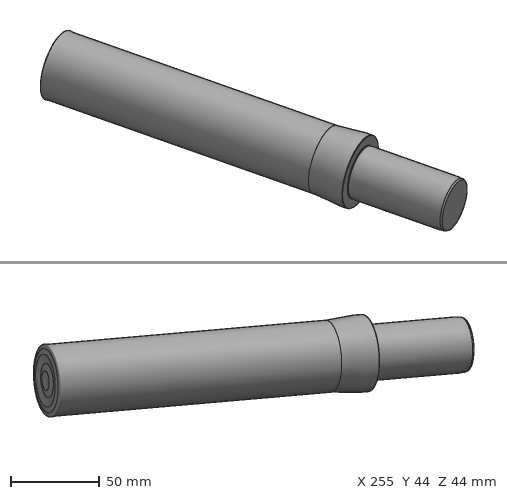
import cadquery as cq


sleeve_radius = 41.0 / 2
bore_radius = 36.5 / 2
sleeve_end = 172.3
rim_radius = 20.8
rim_position = 1.6
rim_taper_end = 3.3
edge_round_start = 20.2

outer_crest_radius = 15.0
outer_slope = 0.155
valley_radius = 9.7
valley_x = 1.0
inner_crest_radius = 5.55
inner_crest_x = 0.15
center_radius = 0.4
center_x = 0.8

land_length = 0.7
collar_radius = 44.0 / 2
flare_end = 190.0
collar_end = 194.8
collar_chamfer_length = 0.3
collar_chamfer_depth = 0.2

total_length = 255.0
shank_radius = 32.0 / 2
pilot_radius = 31.5 / 2
shank_start = 196.9
shank_end = 251.3
step_taper_length = 0.8
root_taper_length = 0.5
tip_chamfer_length = 1.1
tip_chamfer_depth = 0.55


def outer_face_x(radius):
    """X position on the sloped outer part of the end face."""
    return outer_slope * (radius - outer_crest_radius)


def turned(profile):
    """Close an (x, radius) half profile and revolve it about the X axis."""
    return profile.close().revolve(360, (0, 0, 0), (1, 0, 0))


def make_sleeve():
    profile = (
        cq.Workplane("XZ")
        .moveTo(outer_face_x(bore_radius), bore_radius)
        .lineTo(outer_face_x(edge_round_start), edge_round_start)
        .tangentArcPoint((rim_position, rim_radius), relative=False)
        .lineTo(rim_taper_end, sleeve_radius)
        .lineTo(sleeve_end, sleeve_radius)
        .lineTo(sleeve_end, bore_radius)
    )
    return turned(profile)


def make_core():
    profile = (
        cq.Workplane("XZ")
        .moveTo(center_x, 0)
        .lineTo(center_x, center_radius)
        .lineTo(inner_crest_x, inner_crest_radius)
        .lineTo(valley_x, valley_radius)
        .lineTo(0, outer_crest_radius)
        .lineTo(outer_face_x(bore_radius), bore_radius)
        .lineTo(sleeve_end, bore_radius)
        .lineTo(sleeve_end, sleeve_radius)
        .lineTo(sleeve_end + land_length, sleeve_radius)
        .lineTo(flare_end, collar_radius)
        .lineTo(collar_end - collar_chamfer_length, collar_radius)
        .lineTo(collar_end, collar_radius - collar_chamfer_depth)
        .lineTo(collar_end, shank_radius)
        .lineTo(collar_end + root_taper_length, pilot_radius)
        .lineTo(shank_start - step_taper_length, pilot_radius)
        .lineTo(shank_start, shank_radius)
        .lineTo(shank_end, shank_radius)
        .lineTo(shank_end + step_taper_length, pilot_radius)
        .lineTo(total_length - tip_chamfer_length, pilot_radius)
        .lineTo(total_length, pilot_radius - tip_chamfer_depth)
        .lineTo(total_length, 0)
    )
    return turned(profile)


sleeve = make_sleeve()
core = make_core()

result = cq.Compound.makeCompound([sleeve.val(), core.val()])